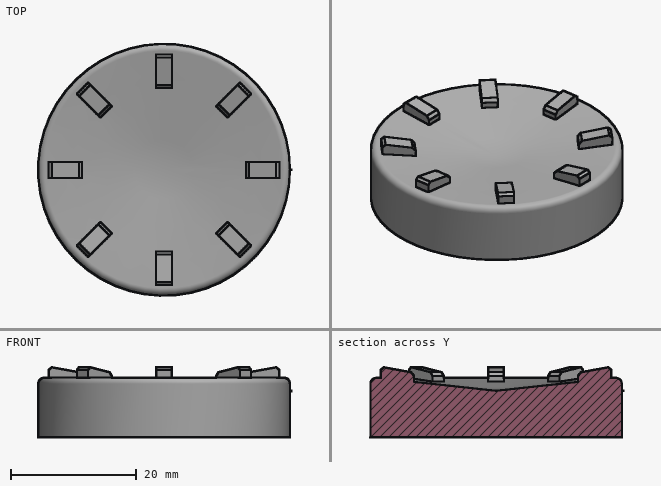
import cadquery as cq
import math

overall_length = 40.2
total_height = 11.15

body_diameter = 40.0
rim_height = 9.5
rim_round = 1.0
dish_slope = 6.2

rib_count = 8
rib_inner = 13.0
rib_outer = 18.3
rib_width = 2.55
rib_slope = 10.3
rib_chamfer = 0.502

pin_diameter = 0.1
pin_height = 7.35
pin_root = 0.8

body_radius = body_diameter / 2
pin_tip = overall_length - body_radius


def make_body():
    """Revolved disc with a rounded rim running tangentially into a conical dish."""
    slope = math.radians(dish_slope)
    arc_x = body_radius - rim_round
    arc_z = rim_height - rim_round
    dish_edge_x = arc_x - rim_round * math.sin(slope)
    dish_edge_z = arc_z + rim_round * math.cos(slope)
    dish_centre_z = dish_edge_z - dish_edge_x * math.tan(slope)
    half_turn = (math.pi / 2 + slope) / 2
    arc_middle = (
        arc_x + rim_round * math.cos(half_turn),
        arc_z + rim_round * math.sin(half_turn),
    )
    profile = (
        cq.Workplane("XZ")
        .lineTo(body_radius, 0)
        .lineTo(body_radius, arc_z)
        .threePointArc(arc_middle, (dish_edge_x, dish_edge_z))
        .lineTo(0, dish_centre_z)
        .close()
    )
    return profile.revolve(360, (0, 0, 0), (0, 1, 0))


def make_rib():
    """Rib along +X with a sloping top and chamfered ends, rooted inside the body."""
    slope = math.radians(rib_slope)
    root_z = rim_height / 2
    chamfer_run = rib_chamfer * math.cos(slope)
    chamfer_rise = rib_chamfer * math.sin(slope)
    outer_top_x = rib_outer - chamfer_run
    inner_top_x = rib_inner + chamfer_run
    inner_top_z = total_height - (outer_top_x - inner_top_x) * math.tan(slope)
    return (
        cq.Workplane("XZ")
        .moveTo(rib_inner, root_z)
        .lineTo(rib_outer, root_z)
        .lineTo(rib_outer, total_height + chamfer_rise - rib_chamfer)
        .lineTo(outer_top_x, total_height)
        .lineTo(inner_top_x, inner_top_z)
        .lineTo(rib_inner, inner_top_z - chamfer_rise - rib_chamfer)
        .close()
        .extrude(rib_width / 2, both=True)
    )


def make_pin():
    """Tiny radial pin on the +X side."""
    start = body_radius - pin_root
    return (
        cq.Workplane("YZ", origin=(start, 0, pin_height))
        .circle(pin_diameter / 2)
        .extrude(pin_tip - start)
    )


result = make_body()
rib = make_rib()
for index in range(rib_count):
    angle = index * 360 / rib_count
    result = result.union(rib.rotate((0, 0, 0), (0, 0, 1), angle))
result = result.union(make_pin())